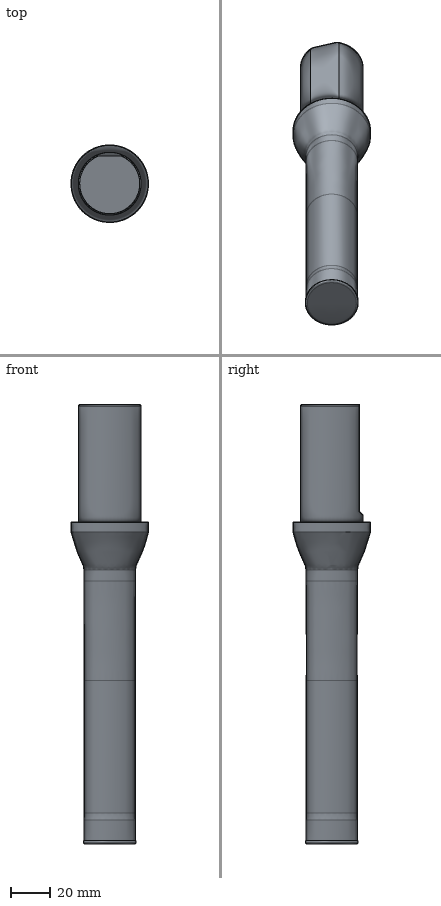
import cadquery as cq
import math


total_length = 224.0
shank_length = 60.0
tip_z = shank_length - total_length

shank_radius = 32.0 / 2
shank_chamfer = 0.7
flat_offset = 14.1
flat_end_z = 5.4

flange_radius = 39.5 / 2
flange_thickness = 5.0
flange_chamfer = 0.2

neck_end_z = -24.5
neck_upper_radius = 16.2
neck_upper_z = -16.1
neck_lower_radius = 14.0
neck_lower_z = -20.8
neck_start_direction = (-0.25, -1)
neck_end_direction = (0, -1)

body_radius = 26.32 / 2
relief_radius = 26.05 / 2
taper_start_z = -30.0
taper_end_z = -80.7
flare_start_z = -148.3
flare_end_z = -151.7

cutting_radius = 27.0 / 2
corner_radius = 1.0
corner_center_radius = cutting_radius - corner_radius
corner_center_z = tip_z + corner_radius

tip_top_z = corner_center_z + math.sqrt(corner_radius**2 - (body_radius - corner_center_radius) ** 2)


def revolve_about_z(profile):
    return profile.close().revolve(360, (0, 0), (0, 1))


def make_turned_holder():
    profile = (
        cq.Workplane("XZ")
        .moveTo(0, shank_length)
        .lineTo(shank_radius - shank_chamfer, shank_length)
        .lineTo(shank_radius, shank_length - shank_chamfer)
        .lineTo(shank_radius, 0)
        .lineTo(flange_radius - flange_chamfer, 0)
        .lineTo(flange_radius, -flange_chamfer)
        .lineTo(flange_radius, -flange_thickness)
        .spline(
            [
                (neck_upper_radius, neck_upper_z),
                (neck_lower_radius, neck_lower_z),
                (body_radius, neck_end_z),
            ],
            tangents=[neck_start_direction, neck_end_direction],
            includeCurrent=True,
        )
        .lineTo(body_radius, taper_start_z)
        .lineTo(relief_radius, taper_end_z)
        .lineTo(relief_radius, flare_start_z)
        .lineTo(body_radius, flare_end_z)
        .lineTo(body_radius, tip_top_z)
        .lineTo(0, tip_top_z)
    )
    return revolve_about_z(profile)


def make_flat_cutter():
    depth = shank_radius - flat_offset
    return (
        cq.Workplane("YZ")
        .moveTo(flat_offset, shank_length)
        .lineTo(flat_offset, flat_end_z)
        .lineTo(shank_radius, flat_end_z - depth)
        .lineTo(shank_radius, shank_length)
        .close()
        .extrude(shank_radius, both=True)
    )


def make_holder():
    return make_turned_holder().cut(make_flat_cutter())


def make_cutting_tip():
    profile = (
        cq.Workplane("XZ")
        .moveTo(0, tip_top_z)
        .lineTo(body_radius, tip_top_z)
        .threePointArc((cutting_radius, corner_center_z), (corner_center_radius, tip_z))
        .lineTo(0, tip_z)
    )
    return revolve_about_z(profile)


holder = make_holder()
cutting_tip = make_cutting_tip()
result = cq.Compound.makeCompound([holder.val(), cutting_tip.val()])